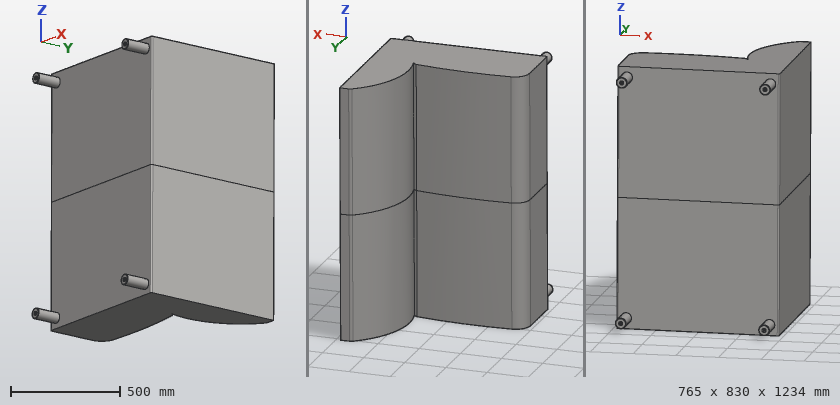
import cadquery as cq
import math

overall_width = 765.0
overall_height = 830.0
overall_length = 1234.0
tilt_angle = 0.23

tilt_sin = math.sin(math.radians(tilt_angle))
tilt_cos = math.cos(math.radians(tilt_angle))
tilt_scale = tilt_cos**2 - tilt_sin**2
seat_depth = (overall_width * tilt_cos - overall_length * tilt_sin) / tilt_scale
total_length = (overall_length * tilt_cos - overall_width * tilt_sin) / tilt_scale
module_length = total_length / 2
module_count = 2

leg_diameter = 50.0
leg_height = 122.0
leg_chamfer = 2.0
leg_side_inset = 45.0
leg_end_inset = 50.0
recess_diameter = 19.0
recess_depth = 2.0
bore_diameter = 7.9
bore_depth = 10.0

floor_y = -overall_height / 2
base_y = floor_y + leg_height
top_y = overall_height / 2
front_x = -seat_depth / 2
rear_x = seat_depth / 2
bottom_edge_radius = 7.0
front_roll_radius = 72.0
top_edge_radius = 25.0

crown_radius = 2085.0
crown_x = -160.0
crown_y = floor_y + 442.0

back_radius = 395.0
back_nose_x = 158.0
back_center_y = floor_y + 506.0

crease_y = floor_y + 402.0
roll_start_x = 153.0
roll_bulge = 1.9


def crown_point(x):
    """Point on the crowned sitting surface at the given x."""
    return x, crown_y - crown_radius + math.sqrt(crown_radius**2 - (x - crown_x) ** 2)


def back_point(y):
    """Point on the bulging backrest at the given y."""
    return back_nose_x + back_radius - math.sqrt(back_radius**2 - (y - back_center_y) ** 2), y


def make_module(z_start):
    """One upholstered seat module, extruded along Z."""
    front_top = crown_point(front_x)
    roll_start = crown_point(roll_start_x)
    crease = back_point(crease_y)
    back_top = back_point(top_y)
    chord_x = crease[0] - roll_start[0]
    chord_y = crease[1] - roll_start[1]
    chord = math.hypot(chord_x, chord_y)
    roll_middle = (
        (roll_start[0] + crease[0]) / 2 - roll_bulge * chord_y / chord,
        (roll_start[1] + crease[1]) / 2 + roll_bulge * chord_x / chord,
    )
    body = (
        cq.Workplane("XY", origin=(0, 0, z_start))
        .moveTo(front_x, base_y)
        .lineTo(*front_top)
        .threePointArc((crown_x, crown_y), roll_start)
        .threePointArc(roll_middle, crease)
        .threePointArc((back_nose_x, back_center_y), back_top)
        .lineTo(rear_x, top_y)
        .lineTo(rear_x, base_y)
        .close()
        .extrude(module_length)
    )
    middle_z = z_start + module_length / 2

    def edge_at(x, y):
        return cq.selectors.NearestToPointSelector((x, y, middle_z))

    body = body.edges(edge_at(*front_top)).fillet(front_roll_radius)
    body = body.edges(edge_at(*back_top)).fillet(top_edge_radius)
    for x in (front_x, rear_x):
        body = body.edges(edge_at(x, base_y)).fillet(bottom_edge_radius)
    return body


def make_leg(x, z):
    """Round leg hanging from the base, with a stepped hole in its foot."""
    return (
        cq.Workplane("XZ", origin=(x, base_y, z))
        .circle(leg_diameter / 2)
        .extrude(leg_height)
        .faces("<Y")
        .chamfer(leg_chamfer)
        .faces("<Y")
        .workplane(centerOption="CenterOfBoundBox")
        .cboreHole(bore_diameter, recess_diameter, recess_depth, depth=bore_depth)
    )


def tilt(body):
    """Lean a body about the Y axis through the centre."""
    return body.rotate((0, 0, 0), (0, 1, 0), tilt_angle)


modules = []
for index in range(module_count):
    modules.append(tilt(make_module(-total_length / 2 + index * module_length)))

leg_x = seat_depth / 2 - leg_side_inset
leg_z = total_length / 2 - leg_end_inset
legs = []
for x in (-leg_x, leg_x):
    for z in (-leg_z, leg_z):
        legs.append(tilt(make_leg(x, z)))

result = cq.Compound.makeCompound([body.val() for body in modules + legs])